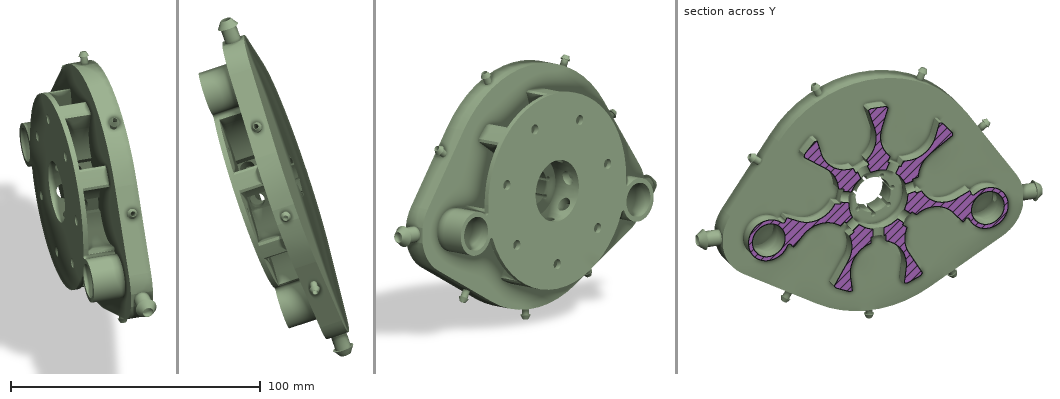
import cadquery as cq
import math

DEPTH = 22.2
PLATE_THICKNESS = 9.2
FACE_THICKNESS = 2.0
PLATE_MID_Y = -PLATE_THICKNESS / 2
HOUSING_DEPTH = DEPTH - PLATE_THICKNESS

PLATE_RADIUS = 50.0
EAR_RADIUS = 17.7
EAR_X = 47.1
EAR_Z = -10.6
EARS = [(-EAR_X, EAR_Z), (EAR_X, EAR_Z)]
PAD_HALF_WIDTH = 3.1

HOUSING_RADIUS = 40.0
HUB_BORE_RADIUS = 12.5
SHAFT_RADIUS = 7.5
BOSS_RADIUS = 8.9
BOSS_BORE_RADIUS = 7.0
BOSS_FLOOR = 2.0
SHOULDER_HEIGHT = -EAR_Z
NOTCH_FILLET = 0.9
CORNER_MARGIN = 0.7

STATION_COUNT = 7
STATION_RADIUS = 30.0
STATION_HOLE_RADIUS = 2.0
VENT_CIRCLE_RADIUS = 8.4
VENT_RADIUS = 1.0
PORT_RADIUS = 3.0
PORT_FROM_FRONT = 5.6
CHAMBER_RADIUS = 12.0
THROAT_HALF_WIDTH = 3.1
THROAT_FLOOR = 16.0

RIB_HALF_ANGLE = 4.8
TIP_CHAMFER_DEPTH = 0.6
TIP_CHAMFER_ANGLE = 1.5
TOP_RIB_ANGLE = 90.0
RIB_FROM_BOSS = 54.7
WEB_HALF_ANGLE = 8.5
MOUTH_OVERRUN = 11.8

SMALL_BARB = {"stem": 1.5, "flare": 2.0, "tip": 1.2, "bore": 1.0, "reach": 5.0, "head": 1.8}
LARGE_BARB = {"stem": 3.3, "flare": 4.3, "tip": 2.2, "bore": 2.0, "reach": 9.3, "head": 3.0}
BARB_ROOT = 1.5


def polar(radius, angle, centre=(0, 0)):
    """Point (x, z) at a radius and an angle in degrees, from +X towards +Z."""
    turn = math.radians(angle)
    return (centre[0] + radius * math.cos(turn), centre[1] + radius * math.sin(turn))


def along(point, angle):
    """Distance of a point (x, z) from the hub axis, measured along a direction."""
    unit = polar(1, angle)
    return point[0] * unit[0] + point[1] * unit[1]


def flip(point):
    return (-point[0], point[1])


def sketch_at(y):
    """XZ workplane at depth y; its extrusions run towards the front (-Y)."""
    return cq.Workplane("XZ", origin=(0, y, 0))


def rod(radius, start, angle, length, y, end_radius=None):
    """Round bar, or cone, across the part at depth y, starting at (x, z)."""
    origin = cq.Vector(start[0], y, start[1])
    axis_x, axis_z = polar(1, angle)
    axis = cq.Vector(axis_x, 0, axis_z)
    if end_radius is None:
        return cq.Workplane(cq.Solid.makeCylinder(radius, length, origin, axis))
    return cq.Workplane(cq.Solid.makeCone(radius, end_radius, length, origin, axis))


STATION_STEP = 360 / STATION_COUNT
STATION_ANGLES = [-90 + i * STATION_STEP for i in range(STATION_COUNT)]
STATIONS = [polar(STATION_RADIUS, angle) for angle in STATION_ANGLES]

EAR_ANGLE = math.degrees(math.atan2(EAR_Z, EAR_X))
TANGENT_SPREAD = math.degrees(math.acos((PLATE_RADIUS - EAR_RADIUS) / math.hypot(EAR_X, EAR_Z)))
UPPER_EDGE_ANGLE = EAR_ANGLE + TANGENT_SPREAD
LOWER_EDGE_ANGLE = EAR_ANGLE - TANGENT_SPREAD

BARB_ANGLES = [
    STATION_ANGLES[0],
    LOWER_EDGE_ANGLE,
    UPPER_EDGE_ANGLE,
    STATION_ANGLES[3],
    STATION_ANGLES[4],
    180 - UPPER_EDGE_ANGLE,
    180 - LOWER_EDGE_ANGLE,
]
ARC_STATIONS = [0, 3, 4]

UPPER_RIB_ANGLE = EAR_ANGLE + RIB_FROM_BOSS
LOWER_RIB_ANGLE = EAR_ANGLE - RIB_FROM_BOSS
LOWER_MOUTH = (LOWER_RIB_ANGLE + RIB_HALF_ANGLE, EAR_ANGLE - WEB_HALF_ANGLE)
SIDE_MOUTH = (EAR_ANGLE + WEB_HALF_ANGLE, UPPER_RIB_ANGLE - RIB_HALF_ANGLE)
UPPER_MOUTH = (UPPER_RIB_ANGLE + RIB_HALF_ANGLE, TOP_RIB_ANGLE - RIB_HALF_ANGLE)
BOTTOM_MOUTH = (-180 - LOWER_RIB_ANGLE + RIB_HALF_ANGLE, LOWER_RIB_ANGLE - RIB_HALF_ANGLE)
RIGHT_MOUTHS = [LOWER_MOUTH, SIDE_MOUTH, UPPER_MOUTH]
LEFT_MOUTHS = [(180 - end, 180 - start) for start, end in reversed(RIGHT_MOUTHS)]
MOUTHS = [BOTTOM_MOUTH] + RIGHT_MOUTHS + LEFT_MOUTHS


def back_plate():
    upper = polar(PLATE_RADIUS, UPPER_EDGE_ANGLE)
    lower = polar(PLATE_RADIUS, LOWER_EDGE_ANGLE)
    ear_upper = polar(EAR_RADIUS, UPPER_EDGE_ANGLE, EARS[1])
    ear_lower = polar(EAR_RADIUS, LOWER_EDGE_ANGLE, EARS[1])
    ear_tip = polar(EAR_RADIUS, 0, EARS[1])
    return (
        sketch_at(0)
        .moveTo(*upper)
        .lineTo(*ear_upper)
        .threePointArc(ear_tip, ear_lower)
        .lineTo(*lower)
        .threePointArc((0, -PLATE_RADIUS), flip(lower))
        .lineTo(*flip(ear_lower))
        .threePointArc(flip(ear_tip), flip(ear_upper))
        .lineTo(*flip(upper))
        .threePointArc((0, PLATE_RADIUS), upper)
        .close()
        .extrude(PLATE_THICKNESS)
    )


def pad_distance(radius):
    """Distance from the centre of a circle to a flat pad cut across it."""
    return math.sqrt(radius**2 - PAD_HALF_WIDTH**2)


def pad_cut(centre, radius, angle):
    """Block that trims a flat barb pad on a round stretch of the plate."""
    size = 2 * PAD_HALF_WIDTH
    block = cq.Workplane("XY").box(size, 2 * PLATE_THICKNESS, 2 * size)
    x, z = polar(pad_distance(radius) + size / 2, angle, centre)
    return block.rotate((0, 0, 0), (0, 1, 0), -angle).translate((x, PLATE_MID_Y, z))


def housing():
    """Round drum merged with the two bosses, before the chambers are cut."""
    drum = sketch_at(-PLATE_THICKNESS).circle(HOUSING_RADIUS).extrude(HOUSING_DEPTH)
    shoulders = (
        sketch_at(-PLATE_THICKNESS)
        .center(0, -SHOULDER_HEIGHT / 2)
        .rect(2 * HOUSING_RADIUS, SHOULDER_HEIGHT)
        .extrude(HOUSING_DEPTH)
    )
    bosses = sketch_at(-PLATE_THICKNESS).pushPoints(EARS).circle(BOSS_RADIUS).extrude(HOUSING_DEPTH)
    body = drum.union(shoulders).union(bosses)
    side = EAR_X
    above = cq.selectors.BoxSelector(
        (-side, -DEPTH, EAR_Z / 2 - CORNER_MARGIN), (side, 0, -CORNER_MARGIN)
    )
    below = cq.selectors.BoxSelector(
        (-side, -DEPTH, EAR_Z - BOSS_RADIUS), (side, 0, EAR_Z - CORNER_MARGIN)
    )
    return body.edges("|Y").edges(above + below).fillet(NOTCH_FILLET)


def mouth_side(station_angle, rim_angle, side):
    """Mouth edge from the seat outwards; side is -1 at the clockwise end, +1 at the other."""
    centre = polar(STATION_RADIUS, station_angle)
    corner = polar(HOUSING_RADIUS - TIP_CHAMFER_DEPTH, rim_angle - side * TIP_CHAMFER_ANGLE)
    dx, dz = corner[0] - centre[0], corner[1] - centre[1]
    tangent_turn = math.degrees(math.acos(CHAMBER_RADIUS / math.hypot(dx, dz)))
    tangent_angle = math.degrees(math.atan2(dz, dx)) + side * tangent_turn
    return [
        polar(CHAMBER_RADIUS, tangent_angle, centre),
        corner,
        polar(HOUSING_RADIUS, rim_angle),
        polar(HOUSING_RADIUS + MOUTH_OVERRUN, rim_angle),
    ]


def chamber(angle, mouth):
    """Space behind the front face: a throat at the hub, a round seat and an open mouth."""
    depth = HOUSING_DEPTH - FACE_THICKNESS
    centre = polar(STATION_RADIUS, angle)
    seat = sketch_at(-PLATE_THICKNESS).center(*centre).circle(CHAMBER_RADIUS).extrude(depth)
    throat = (
        sketch_at(-PLATE_THICKNESS)
        .transformed(rotate=(0, 0, angle))
        .center((THROAT_FLOOR + STATION_RADIUS) / 2, 0)
        .rect(STATION_RADIUS - THROAT_FLOOR, 2 * THROAT_HALF_WIDTH)
        .extrude(depth)
    )
    start_side = mouth_side(angle, mouth[0], -1)
    end_side = mouth_side(angle, mouth[1], 1)
    outline = [centre] + start_side + end_side[::-1]
    opening = sketch_at(-PLATE_THICKNESS).polyline(outline).close().extrude(depth)
    bosses = sketch_at(-PLATE_THICKNESS).pushPoints(EARS).circle(BOSS_RADIUS).extrude(depth)
    return seat.union(throat).union(opening).cut(bosses)


def barb(sizes, start, angle):
    """Hose barb standing on the plate edge at (x, z)."""
    stem_length = sizes["reach"] - sizes["head"]
    root = polar(-BARB_ROOT, angle, start)
    head = polar(stem_length, angle, start)
    stem = rod(sizes["stem"], root, angle, stem_length + BARB_ROOT, PLATE_MID_Y)
    return stem.union(rod(sizes["flare"], head, angle, sizes["head"], PLATE_MID_Y, sizes["tip"]))


result = back_plate()
for i in ARC_STATIONS:
    result = result.cut(pad_cut((0, 0), PLATE_RADIUS, STATION_ANGLES[i]))
for ear, ear_side in zip(EARS, (180, 0)):
    result = result.cut(pad_cut(ear, EAR_RADIUS, ear_side))
result = result.union(housing())

for station_angle, station_mouth in zip(STATION_ANGLES, MOUTHS):
    result = result.cut(chamber(station_angle, station_mouth))
    port_y = PORT_FROM_FRONT - DEPTH
    result = result.cut(rod(PORT_RADIUS, (0, 0), station_angle, STATION_RADIUS, port_y))

vents = [polar(VENT_CIRCLE_RADIUS, angle) for angle in STATION_ANGLES]
result = result.cut(sketch_at(-PLATE_THICKNESS).circle(HUB_BORE_RADIUS).extrude(HOUSING_DEPTH))
result = result.cut(sketch_at(0).circle(SHAFT_RADIUS).extrude(PLATE_THICKNESS))
result = result.cut(sketch_at(0).pushPoints(vents).circle(VENT_RADIUS).extrude(PLATE_THICKNESS))

face_back = sketch_at(FACE_THICKNESS - DEPTH)
result = result.cut(face_back.pushPoints(STATIONS).circle(STATION_HOLE_RADIUS).extrude(FACE_THICKNESS))
boss_bores = sketch_at(-BOSS_FLOOR).pushPoints(EARS).circle(BOSS_BORE_RADIUS).extrude(DEPTH)
result = result.cut(boss_bores)

for i, (station, angle) in enumerate(zip(STATIONS, BARB_ANGLES)):
    edge = pad_distance(PLATE_RADIUS) if i in ARC_STATIONS else PLATE_RADIUS
    run = edge - along(station, angle)
    result = result.union(barb(SMALL_BARB, polar(run, angle, station), angle))
    bore_length = run + SMALL_BARB["reach"]
    result = result.cut(rod(SMALL_BARB["bore"], station, angle, bore_length, PLATE_MID_Y))

for ear, ear_side in zip(EARS, (180, 0)):
    run = pad_distance(EAR_RADIUS)
    result = result.union(barb(LARGE_BARB, polar(run, ear_side, ear), ear_side))
    bore_length = run + LARGE_BARB["reach"]
    result = result.cut(rod(LARGE_BARB["bore"], ear, ear_side, bore_length, PLATE_MID_Y))